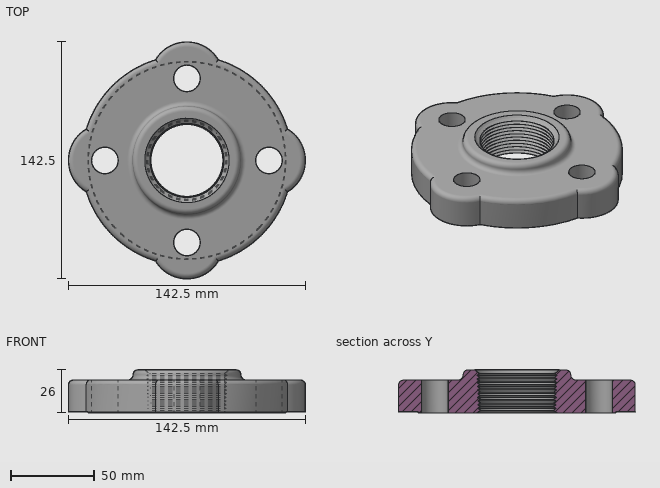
import cadquery as cq

overall_width = 142.5
plate_thickness = 19.2
disc_radius = 63.4
edge_round = 3.1

lobe_count = 4
bolt_circle_radius = 49.3
bolt_hole_diameter = 15.8
lobe_radius = overall_width / 2 - bolt_circle_radius

hub_radius = 32.5
hub_height = 6.1
hub_round = hub_height / 2

face_radius = 59.5
face_height = 0.7
face_chamfer = 0.4

bore_top_radius = 22.4
taper_slope = 1 / 32
thread_length = 22.1
thread_depth = 1.7
thread_count = 10
thread_pitch = thread_length / thread_count
thread_start_depth = 2.3
mouth_radius = 25.4
mouth_throat_radius = 24.0
mouth_depth = 1.3
lower_mouth_radius = 24.2

bottom_z = -face_height
top_z = plate_thickness + hub_height


def crest_radius(z):
    """Thread crest radius at height z; the bore narrows downwards."""
    return bore_top_radius - taper_slope * (top_z - z)


def round_top(disc):
    """Round the upper edge of a disc."""
    return disc.faces(">Z").edges().fillet(edge_round)


def make_plate():
    """Disc with round lobes, each rounded on top so that the rounds mitre where they meet."""
    plate = round_top(cq.Workplane("XY").circle(disc_radius).extrude(plate_thickness))
    lobe = round_top(cq.Workplane("XY").circle(lobe_radius).extrude(plate_thickness))
    for index in range(lobe_count):
        placed_lobe = lobe.translate((bolt_circle_radius, 0, 0))
        plate = plate.union(placed_lobe.rotate((0, 0, 0), (0, 0, 1), index * 360 / lobe_count))
    return plate


def make_hub():
    """Round hub with a concave foot and a convex rim."""
    rim_inner = hub_radius - hub_round
    foot_outer = hub_radius + hub_round
    middle_z = plate_thickness + hub_round
    profile = (
        cq.Workplane("XZ")
        .moveTo(0, 0)
        .lineTo(foot_outer, 0)
        .lineTo(foot_outer, plate_thickness)
        .radiusArc((hub_radius, middle_z), hub_round)
        .radiusArc((rim_inner, top_z), -hub_round)
        .lineTo(0, top_z)
        .close()
    )
    return profile.revolve(360, (0, 0), (0, 1))


def make_gasket_face():
    """Shallow disc under the plate with a bevelled lower edge."""
    face = cq.Workplane("XY").workplane(offset=bottom_z).circle(face_radius).extrude(face_height)
    return face.faces("<Z").edges().chamfer(face_chamfer)


def make_bore():
    """Tapered threaded bore with a conical mouth at each end, as one solid to cut away."""
    thread_top_z = top_z - thread_start_depth
    profile = (
        cq.Workplane("XZ")
        .moveTo(0, top_z)
        .lineTo(mouth_radius, top_z)
        .lineTo(mouth_throat_radius, top_z - mouth_depth)
        .lineTo(crest_radius(thread_top_z), thread_top_z)
    )
    for index in range(thread_count):
        crest_z = thread_top_z - index * thread_pitch
        root_z = crest_z - thread_pitch / 2
        next_crest_z = crest_z - thread_pitch
        profile = profile.lineTo(crest_radius(root_z) + thread_depth, root_z)
        profile = profile.lineTo(crest_radius(next_crest_z), next_crest_z)
    profile = profile.lineTo(lower_mouth_radius, bottom_z).lineTo(0, bottom_z).close()
    return profile.revolve(360, (0, 0), (0, 1))


def make_bolt_holes():
    """Plain holes through the plate and the gasket face, one per lobe."""
    return (
        cq.Workplane("XY")
        .workplane(offset=bottom_z)
        .polarArray(bolt_circle_radius, 0, 360, lobe_count)
        .circle(bolt_hole_diameter / 2)
        .extrude(plate_thickness + face_height)
    )


body = make_plate().union(make_hub()).union(make_gasket_face())
result = body.cut(make_bore()).cut(make_bolt_holes())